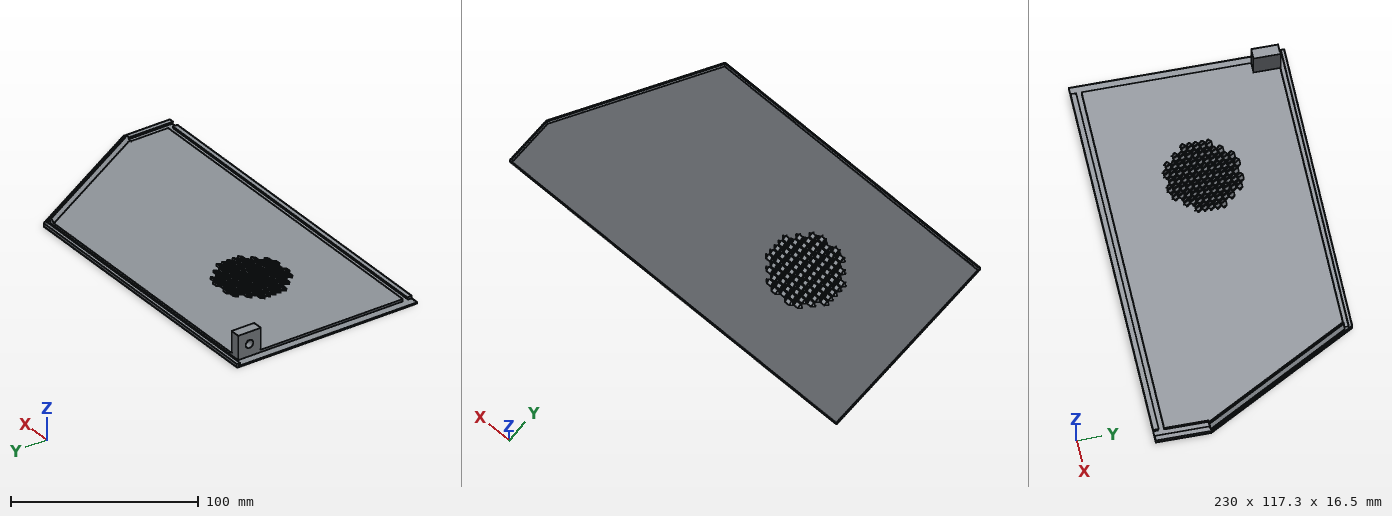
import cadquery as cq
import math

LENGTH = 230.0
WIDTH = 117.3
HEIGHT = 16.5
FLOOR_Z = 1.5
PLATE_Z = 2 * FLOOR_Z
BOTTOM_CHAMFER = 1.0

SLANT_RUN = 50.4
SLANT_ANGLE = 60.0
SLANT_RISE = SLANT_RUN * math.tan(math.radians(SLANT_ANGLE))
SLANT_LOW_Y = WIDTH - SLANT_RISE
SLANT_TOP_X = LENGTH - SLANT_RUN

LEDGE_WIDTH = 5.0
FRONT_RIM = 3.0
FRONT_CHANNEL = 3.0
RIGHT_RIM = 3.0
RIGHT_CHANNEL = 4.0
BACK_RIM = 2.0
BACK_CHANNEL = 2.3
RIM_UNDERCUT = FLOOR_Z / 3

PLATE_FRONT_Y = FRONT_RIM + FRONT_CHANNEL
PLATE_BACK_Y = WIDTH - BACK_RIM - BACK_CHANNEL
PLATE_RIGHT_X = LENGTH - RIGHT_RIM - RIGHT_CHANNEL

RIDGE_HEIGHT = 2.0
RIDGE_INSET = 1.0

BLOCK_LENGTH = 6.2
BLOCK_WIDTH = 14.7
BLOCK_HEIGHT = HEIGHT - FLOOR_Z
BLOCK_HOLE_DIAMETER = 4.8
BLOCK_HOLE_DEPTH = 4.5

VENT_X = 70.2
VENT_Y = 57.5
VENT_RADIUS = 20.5
VENT_SPAN = 38.5
VENT_COLUMN_PITCH = VENT_SPAN / 8
VENT_ROW_PITCH = VENT_SPAN / 11
VENT_ROW_GAP = 0.67
VENT_HOLE_BREADTH = VENT_ROW_PITCH - VENT_ROW_GAP
VENT_HOLE_WIDTH = 5.8
VENT_HOLE_FLAT = VENT_HOLE_WIDTH / 2


def make_plate():
    outline = [
        (0, 0),
        (LENGTH, 0),
        (LENGTH, SLANT_LOW_Y),
        (SLANT_TOP_X, WIDTH),
        (0, WIDTH),
    ]
    plate = cq.Workplane("XY").polyline(outline).close().extrude(PLATE_Z)
    return plate.faces("<Z").edges().chamfer(BOTTOM_CHAMFER)


def channel_profile(plane, wall, rim, outward):
    """Channel section with a plain wall on the plate side and an undercut wall on the rim side."""
    return plane.polyline([
        (wall, FLOOR_Z),
        (rim + outward * RIM_UNDERCUT, FLOOR_Z),
        (rim, PLATE_Z),
        (wall, PLATE_Z),
    ]).close()


def make_front_channel():
    profile = channel_profile(cq.Workplane("YZ"), PLATE_FRONT_Y, FRONT_RIM, -1)
    return profile.extrude(LENGTH - RIGHT_RIM)


def make_back_channel():
    profile = channel_profile(cq.Workplane("YZ"), PLATE_BACK_Y, WIDTH - BACK_RIM, 1)
    return profile.extrude(SLANT_TOP_X)


def make_right_channel():
    profile = channel_profile(cq.Workplane("XZ"), PLATE_RIGHT_X, LENGTH - RIGHT_RIM, 1)
    return profile.extrude(-SLANT_LOW_Y)


def make_ledge():
    ledge = cq.Workplane("XY").workplane(offset=FLOOR_Z)
    return ledge.rect(LEDGE_WIDTH, PLATE_BACK_Y, centered=False).extrude(PLATE_Z - FLOOR_Z)


def make_ridge():
    """Roof-shaped ridge parallel to the slanted side, its ends cut along X."""
    slope = math.radians(SLANT_ANGLE)
    half_width = RIDGE_HEIGHT / math.sin(slope)
    low_x = LENGTH - RIDGE_INSET / math.sin(slope) - half_width
    high_x = low_x - (PLATE_BACK_Y - SLANT_LOW_Y) / math.tan(slope)

    def section(x, y):
        return cq.Wire.makePolygon([
            cq.Vector(x - half_width, y, PLATE_Z),
            cq.Vector(x + half_width, y, PLATE_Z),
            cq.Vector(x, y, PLATE_Z + RIDGE_HEIGHT),
        ], close=True)

    ends = [section(low_x, SLANT_LOW_Y), section(high_x, PLATE_BACK_Y)]
    return cq.Workplane(cq.Solid.makeLoft(ends, True))


def make_block():
    block_y = PLATE_BACK_Y - BLOCK_WIDTH
    block = cq.Workplane("XY").box(BLOCK_LENGTH, BLOCK_WIDTH, BLOCK_HEIGHT, centered=False)
    left_face = block.faces("<X").workplane(centerOption="CenterOfMass")
    block = left_face.hole(BLOCK_HOLE_DIAMETER, BLOCK_HOLE_DEPTH)
    return block.translate((LEDGE_WIDTH, block_y, FLOOR_Z))


def vent_centers():
    """Staggered columns of hole centers, kept where they lie within the round vent."""
    column_count = int(VENT_RADIUS // VENT_COLUMN_PITCH)
    row_count = int(VENT_RADIUS // VENT_ROW_PITCH) + 1
    centers = []
    for column in range(-column_count, column_count + 1):
        offset = (column % 2) / 2
        for row in range(-row_count, row_count + 1):
            x = column * VENT_COLUMN_PITCH
            y = (row + offset) * VENT_ROW_PITCH
            if math.hypot(x, y) <= VENT_RADIUS:
                centers.append((x, y))
    return centers


def make_vent():
    tip = VENT_HOLE_WIDTH / 2
    flat = VENT_HOLE_FLAT / 2
    side = VENT_HOLE_BREADTH / 2
    hexagon = [(-tip, 0), (-flat, -side), (flat, -side), (tip, 0), (flat, side), (-flat, side)]
    lean = PLATE_Z
    rise = cq.Vector(0, lean, PLATE_Z)
    holes = []
    for x, y in vent_centers():
        corners = [cq.Vector(VENT_X + x + u, VENT_Y + y + v - lean / 2, 0) for u, v in hexagon]
        holes.append(cq.Solid.extrudeLinear(cq.Wire.makePolygon(corners, close=True), [], rise))
    return cq.Workplane(cq.Compound.makeCompound(holes))


recesses = [
    make_ledge(),
    make_front_channel(),
    make_back_channel(),
    make_right_channel(),
    make_vent(),
]
plate = make_plate()
for recess in recesses:
    plate = plate.cut(recess)
result = plate.union(make_ridge()).union(make_block())